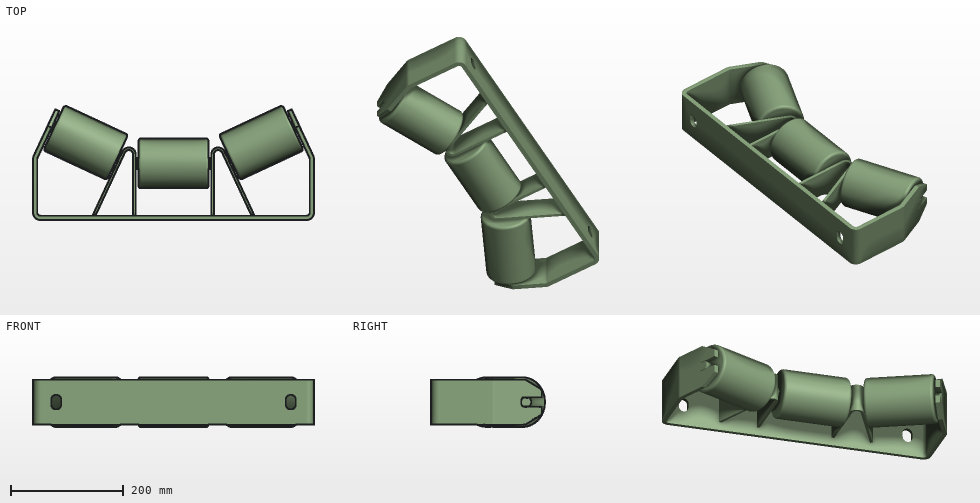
import cadquery as cq
import math

frame_length = 500.0
frame_height = 80.0
tilt = 25.0

frame_thickness = 8.0
frame_bend_radius = 14.0
arm_bend_y = 108.5
arm_length = 91.5
arm_taper_length = 32.5
arm_tip_width = 44.0
mount_hole_width = 18.0
mount_hole_height = 26.0
mount_hole_x = 208.5

bracket_height = 50.0
bracket_thickness = 5.0
bracket_bend_radius = 12.5
bracket_face_x = 67.0
bracket_bend_y = 117.0

roller_diameter = 89.0
roller_length = 125.0
roller_edge_radius = 5.0
middle_roller_y = 101.0
outer_roller_x = 156.0
outer_roller_y = 138.0
axle_diameter = 20.0
axle_shoulder = 2.5
axle_flats = 15.0
slot_width = 17.0

sin_tilt = math.sin(math.radians(tilt))
cos_tilt = math.cos(math.radians(tilt))
sin_half = math.sin(math.radians(tilt / 2))
cos_half = math.cos(math.radians(tilt / 2))

frame_mid_radius = frame_bend_radius - frame_thickness / 2
wall_x = -(frame_length - frame_thickness) / 2
arm_bend_x = wall_x + frame_mid_radius
arm_start_x = arm_bend_x - frame_mid_radius * cos_tilt
arm_start_y = arm_bend_y + frame_mid_radius * sin_tilt
arm_tip_x = arm_start_x + arm_length * sin_tilt
arm_tip_y = arm_start_y + arm_length * cos_tilt

bracket_bend_x = -bracket_face_x - bracket_bend_radius


def along_outer_axis(x, y):
    """Distance of a point from the left roller's centre, measured along that roller's axis."""
    return (x + outer_roller_x) * cos_tilt - (y - outer_roller_y) * sin_tilt


middle_reach = bracket_face_x + bracket_thickness
arm_reach = frame_thickness / 2 - along_outer_axis(arm_tip_x, arm_tip_y)
leg_reach = along_outer_axis(bracket_bend_x, bracket_bend_y) - bracket_bend_radius + bracket_thickness


def mirrored(body):
    return body.mirror("YZ")


def place_left(body):
    """Move a body built on the X axis onto the axis of the left outer roller."""
    return body.rotate((0, 0, 0), (0, 0, 1), -tilt).translate((-outer_roller_x, outer_roller_y, 0))


def axle_bar(start, end, thickness):
    """Round bar along X with two flats, facing up and down."""
    bar = cq.Workplane("YZ", origin=(start, 0, 0)).circle(axle_diameter / 2).extrude(end - start)
    slab = cq.Workplane("XY").box(end - start, axle_diameter, thickness)
    return bar.intersect(slab.translate(((start + end) / 2, 0, 0)))


def make_roller(left_reach, right_reach):
    """Roller along X about the origin, in one piece with its axle."""
    shoulder = roller_length / 2 + axle_shoulder
    drum = (
        cq.Workplane("YZ", origin=(-roller_length / 2, 0, 0))
        .circle(roller_diameter / 2)
        .extrude(roller_length)
        .edges()
        .fillet(roller_edge_radius)
    )
    shaft = cq.Workplane("YZ", origin=(-shoulder, 0, 0)).circle(axle_diameter / 2).extrude(2 * shoulder)
    return drum.union(shaft).union(axle_bar(-left_reach, right_reach, axle_flats))


def make_strip(path, start, height, thickness):
    """Strip of the given height swept along its middle line, which starts parallel to the arms."""
    section = cq.Plane(origin=start, xDir=(0, 0, 1), normal=(-sin_tilt, -cos_tilt, 0))
    return cq.Workplane(section).rect(height, thickness).sweep(path)


def make_arm_cut():
    """Material removed from the left arm: the two tapered corners and the open axle slot."""
    face = cq.Plane(
        origin=(arm_tip_x, arm_tip_y, 0),
        xDir=(sin_tilt, cos_tilt, 0),
        normal=(-cos_tilt, sin_tilt, 0),
    )
    upper_corner = (
        cq.Workplane(face)
        .moveTo(0, arm_tip_width / 2)
        .lineTo(0, frame_height / 2)
        .lineTo(-arm_taper_length, frame_height / 2)
        .close()
        .extrude(frame_thickness, both=True)
    )
    lower_corner = upper_corner.mirror("XY")
    slot_seat = axle_bar(-arm_reach, 0, slot_width)
    slot_mouth = cq.Workplane("XY", origin=(-arm_reach, 0, 0)).box(
        arm_reach, arm_length, slot_width, centered=(False, False, True)
    )
    slot = place_left(slot_seat.union(slot_mouth))
    return upper_corner.union(lower_corner).union(slot)


def make_frame():
    r = frame_mid_radius
    base_y = frame_thickness / 2
    corner_x = wall_x + r
    corner_y = base_y + r
    bend_corner = r * math.sqrt(0.5)
    arm_bend_middle = (arm_bend_x - r * cos_half, arm_bend_y + r * sin_half)
    path = (
        cq.Workplane("XY")
        .moveTo(arm_tip_x, arm_tip_y)
        .lineTo(arm_start_x, arm_start_y)
        .threePointArc(arm_bend_middle, (wall_x, arm_bend_y))
        .lineTo(wall_x, corner_y)
        .threePointArc((corner_x - bend_corner, corner_y - bend_corner), (corner_x, base_y))
        .lineTo(-corner_x, base_y)
        .threePointArc((-corner_x + bend_corner, corner_y - bend_corner), (-wall_x, corner_y))
        .lineTo(-wall_x, arm_bend_y)
        .threePointArc((-arm_bend_middle[0], arm_bend_middle[1]), (-arm_start_x, arm_start_y))
        .lineTo(-arm_tip_x, arm_tip_y)
    )
    strip = make_strip(path, (arm_tip_x, arm_tip_y, 0), frame_height, frame_thickness)
    arm_cut = make_arm_cut()
    mount_holes = (
        cq.Workplane("XZ")
        .pushPoints([(-mount_hole_x, 0), (mount_hole_x, 0)])
        .slot2D(mount_hole_height, mount_hole_width, 90)
        .extrude(-frame_thickness)
    )
    return strip.cut(arm_cut).cut(mirrored(arm_cut)).cut(mount_holes)


def make_left_bracket():
    """Bent strip with an upright leg and a slanted leg that both stand on the frame."""
    r = bracket_bend_radius - bracket_thickness / 2
    leg_start_x = bracket_bend_x - r * cos_tilt
    leg_start_y = bracket_bend_y + r * sin_tilt
    foot_y = frame_thickness + bracket_thickness / 2 * sin_tilt
    foot_x = leg_start_x - (leg_start_y - foot_y) * sin_tilt / cos_tilt
    path = (
        cq.Workplane("XY")
        .moveTo(foot_x, foot_y)
        .lineTo(leg_start_x, leg_start_y)
        .threePointArc(
            (bracket_bend_x + r * sin_half, bracket_bend_y + r * cos_half),
            (bracket_bend_x + r, bracket_bend_y),
        )
        .lineTo(bracket_bend_x + r, frame_thickness)
    )
    strip = make_strip(path, (foot_x, foot_y, 0), bracket_height, bracket_thickness)
    upright_hole = axle_bar(-middle_reach, 0, axle_flats).translate((0, middle_roller_y, 0))
    slanted_hole = place_left(axle_bar(0, leg_reach, axle_flats))
    return strip.cut(upright_hole).cut(slanted_hole)


frame = make_frame()

left_bracket = make_left_bracket()
brackets = [left_bracket, mirrored(left_bracket)]

left_roller = place_left(make_roller(arm_reach, leg_reach))
middle_roller = make_roller(middle_reach, middle_reach).translate((0, middle_roller_y, 0))
rollers = [left_roller, middle_roller, mirrored(left_roller)]

bodies = [frame, *brackets, *rollers]
result = cq.Compound.makeCompound([body.solids().val() for body in bodies])